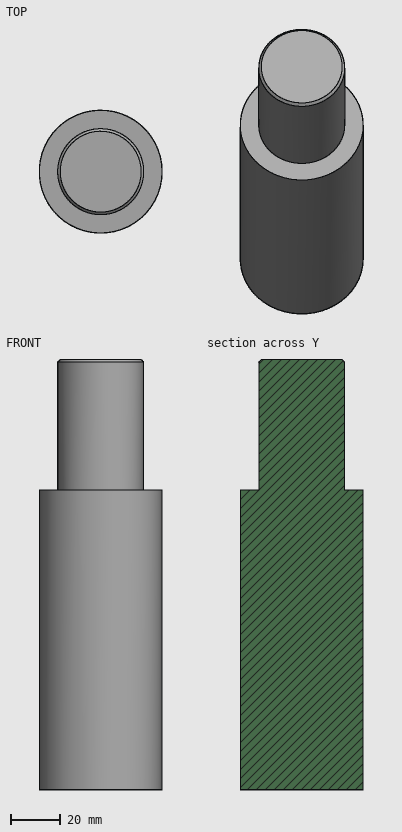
import cadquery as cq

total_height = 175.0
body_diameter = 50.0
body_height = 122.0
pin_diameter = 35.0
pin_chamfer = 1.0

body = cq.Workplane("XY").circle(body_diameter / 2).extrude(body_height)

pin = (
    cq.Workplane("XY")
    .workplane(offset=body_height)
    .circle(pin_diameter / 2)
    .extrude(total_height - body_height)
    .faces(">Z")
    .chamfer(pin_chamfer)
)

result = body.union(pin)